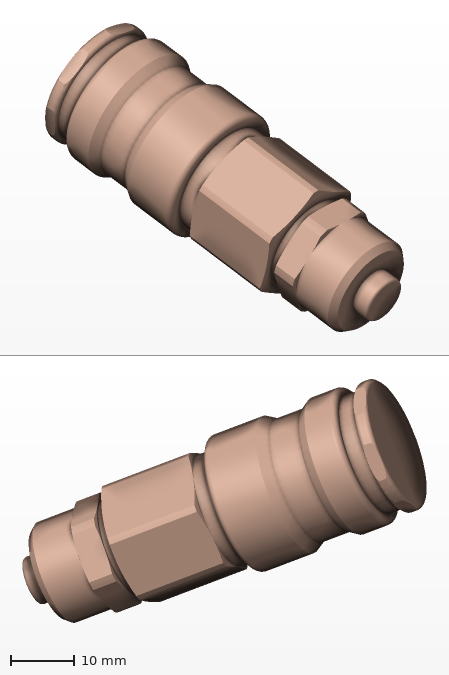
import cadquery as cq
import math


collar_end = 2.4
collar_radius = 11.0
collar_apothem = 10.6
collar_round = 0.8
collar_turn = 90

front_neck_radius = 10.0
sleeve_start = 5.15
sleeve_end = 28.65
sleeve_diameter = 23.15
sleeve_radius = sleeve_diameter / 2
sleeve_round = 0.95
groove_radius = 10.45
groove_cone_start = 10.5
groove_floor_start = 12.25
groove_floor_end = 17.35
groove_cone_end = 19.2

rear_neck_radius = 9.5
hex_start = 31.3
hex_end = 47.5
hex_apothem = 9.55
hex_corner_radius = 10.7
hex_bevel = 0.4
hex_turn = 17.2

nut_neck_radius = 8.05
stub_radius = 4.0
stub_end = 64.5
stub_round = 0.5

nut_start = 48.8
nut_hex_end = 53.3
nut_end = 61.4
nut_hex_apothem = 8.45
nut_corner_radius = 9.35
nut_bevel = 0.2
nut_barrel_radius = 8.5
nut_chamfer_length = 1.15
nut_chamfer_depth = 0.95


def disc(start, end, radius):
    """Cylinder on the X axis between two X positions."""
    return cq.Workplane("YZ", origin=(start, 0, 0)).circle(radius).extrude(end - start)


def revolve_about_x(profile):
    """Turn a closed (X, radius) profile about the X axis."""
    return profile.revolve(360, (0, 0, 0), (1, 0, 0))


def hex_prism(start, end, apothem, turn):
    """Hexagonal bar along X; turn is the angle of one corner from +Y towards +Z."""
    corner_diameter = 2 * apothem / math.cos(math.pi / 6)
    bar = cq.Workplane("YZ").polygon(6, corner_diameter).extrude(end - start)
    return bar.rotate((0, 0, 0), (1, 0, 0), turn).translate((start, 0, 0))


def turned_hex(start, end, apothem, corner_radius, face_radius, bevel, turn):
    """Hexagon whose corners are turned round and bevelled at both end faces."""
    blank = revolve_about_x(
        cq.Workplane("XY")
        .moveTo(start, 0)
        .lineTo(start, face_radius)
        .lineTo(start + bevel, corner_radius)
        .lineTo(end - bevel, corner_radius)
        .lineTo(end, face_radius)
        .lineTo(end, 0)
        .close()
    )
    return blank.intersect(hex_prism(start, end, apothem, turn))


def make_collar():
    rounded_disc = disc(0, collar_end, collar_radius).faces("<X or >X").edges().fillet(collar_round)
    return rounded_disc.intersect(hex_prism(0, collar_end, collar_apothem, collar_turn))


def make_sleeve():
    sleeve = revolve_about_x(
        cq.Workplane("XY")
        .moveTo(sleeve_start, 0)
        .lineTo(sleeve_start, sleeve_radius)
        .lineTo(groove_cone_start, sleeve_radius)
        .lineTo(groove_floor_start, groove_radius)
        .lineTo(groove_floor_end, groove_radius)
        .lineTo(groove_cone_end, sleeve_radius)
        .lineTo(sleeve_end, sleeve_radius)
        .lineTo(sleeve_end, 0)
        .close()
    )
    return sleeve.faces("<X or >X").edges().fillet(sleeve_round)


def make_coupling_body():
    """Collar, sleeve, hexagon and the stub that passes through the nut, all one solid."""
    body_hex = turned_hex(
        hex_start, hex_end, hex_apothem, hex_corner_radius, rear_neck_radius, hex_bevel, hex_turn
    )
    stub = disc(nut_start, stub_end, stub_radius).faces(">X").edges().fillet(stub_round)
    return (
        make_collar()
        .union(disc(collar_end, sleeve_start, front_neck_radius))
        .union(make_sleeve())
        .union(disc(sleeve_end, hex_start, rear_neck_radius))
        .union(body_hex)
        .union(disc(hex_end, nut_start, nut_neck_radius))
        .union(stub)
    )


def make_nut():
    """Clamping nut: hexagon and chamfered barrel, bored to fit the stub."""
    nut_hex = turned_hex(
        nut_start, nut_hex_end, nut_hex_apothem, nut_corner_radius, nut_barrel_radius, nut_bevel, -hex_turn
    )
    barrel = revolve_about_x(
        cq.Workplane("XY")
        .moveTo(nut_hex_end, 0)
        .lineTo(nut_hex_end, nut_barrel_radius)
        .lineTo(nut_end - nut_chamfer_length, nut_barrel_radius)
        .lineTo(nut_end, nut_barrel_radius - nut_chamfer_depth)
        .lineTo(nut_end, 0)
        .close()
    )
    return nut_hex.union(barrel).cut(disc(nut_start, nut_end, stub_radius))


coupling_body = make_coupling_body()
nut = make_nut()
result = cq.Compound.makeCompound([coupling_body.val(), nut.val()])